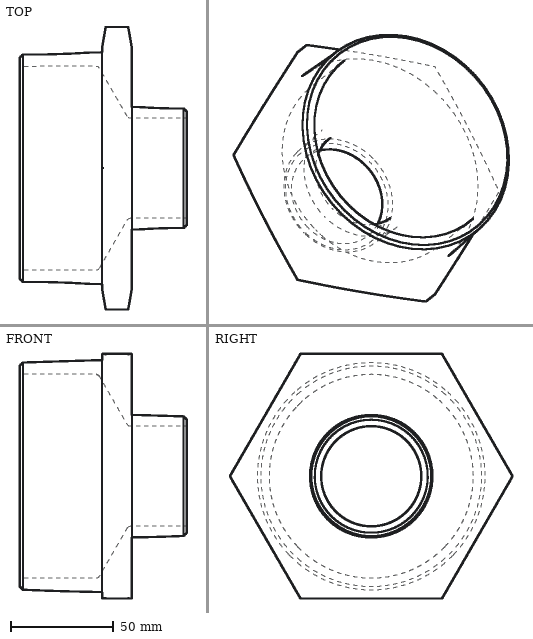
import cadquery as cq
import math

length = 82.0
large_taper_end = 35.8
hex_start = 40.4
hex_end = 55.0
small_taper_start = 58.7

large_radius = 113.6 / 2
small_radius = 60.1 / 2
taper_slope = 1 / 32
end_chamfer = 1.7

across_flats = 120.0
corner_radius = across_flats / 2 / math.cos(math.radians(30))
bevel_radius = 59.5
bevel_slope = math.tan(math.radians(10))

wide_bore_radius = 100.0 / 2
narrow_bore_radius = 49.0 / 2
wide_bore_depth = 38.5
funnel_half_angle = 60
funnel_fillet = 2.0

edge_radius = 0.5


def revolve_about_x(points):
    """Revolve a closed (x, radius) outline about the X axis."""
    return cq.Workplane("XZ").polyline(points).close().revolve(360, (0, 0, 0), (1, 0, 0))


def make_tapered_ends():
    """Both tapered ends as one solid that runs through the middle of the hexagon."""
    large_end_radius = large_radius - taper_slope * (large_taper_end - end_chamfer)
    small_chamfer_start = length - end_chamfer
    small_end_radius = small_radius - taper_slope * (small_chamfer_start - small_taper_start)
    hex_middle = (hex_start + hex_end) / 2
    return revolve_about_x([
        (0, 0),
        (0, large_end_radius - end_chamfer),
        (end_chamfer, large_end_radius),
        (large_taper_end, large_radius),
        (hex_middle, large_radius),
        (hex_middle, small_radius),
        (small_taper_start, small_radius),
        (small_chamfer_start, small_end_radius),
        (length, small_end_radius - end_chamfer),
        (length, 0),
    ])


def make_hexagon():
    """Hexagon with corners on +Y and -Y, bevelled on both faces and rounded around its flats."""
    prism = (
        cq.Workplane("YZ", origin=(hex_start, 0, 0))
        .polygon(6, 2 * corner_radius)
        .extrude(hex_end - hex_start)
    )
    envelope_radius = corner_radius + 1.4
    bevel_depth = bevel_slope * (envelope_radius - bevel_radius)
    bevel_envelope = revolve_about_x([
        (hex_start, 0),
        (hex_start, bevel_radius),
        (hex_start + bevel_depth, envelope_radius),
        (hex_end - bevel_depth, envelope_radius),
        (hex_end, bevel_radius),
        (hex_end, 0),
    ])
    bevelled = prism.intersect(bevel_envelope)
    flats = bevelled.faces("#X")
    return flats.edges().fillet(edge_radius)


def make_bore():
    """Wide bore, conical funnel and narrow through bore, with both ends of the funnel rounded."""
    funnel_length = (wide_bore_radius - narrow_bore_radius) / math.tan(math.radians(funnel_half_angle))
    bore = revolve_about_x([
        (0, 0),
        (0, wide_bore_radius),
        (wide_bore_depth, wide_bore_radius),
        (wide_bore_depth + funnel_length, narrow_bore_radius),
        (length, narrow_bore_radius),
        (length, 0),
    ])
    return bore.faces("%CONE").edges().fillet(funnel_fillet)


def edges_within(x, radius):
    """Select the circular edges at station x that are no larger than the given radius."""
    margin = 0.1
    reach = radius + margin
    return cq.selectors.BoxSelector(
        (x - margin, -reach, -reach), (x + margin, reach, reach), boundingbox=True
    )


body = make_tapered_ends().union(make_hexagon())
body = body.edges(edges_within(hex_start, large_radius)).fillet(edge_radius)
body = body.edges(edges_within(hex_end, small_radius)).fillet(edge_radius)

body = body.cut(make_bore())
result = body.edges(edges_within(0, wide_bore_radius)).fillet(edge_radius)